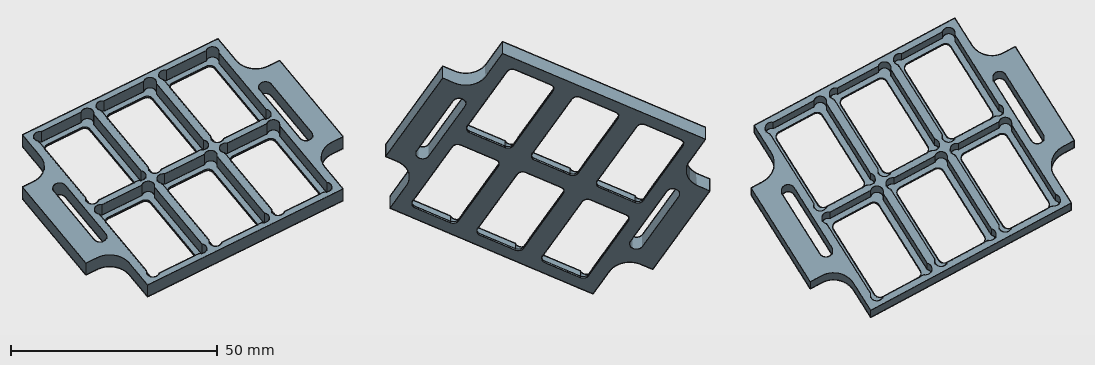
import cadquery as cq

plate_side = 56.2
thickness = 4.5
overall_length = 73.9
tab_width = 28.5
tab_fillet_radius = 5.6

slot_length = 21.4
slot_width = 3.3
slot_offset = 29.55

columns = 2
rows = 3
column_pitch = 27.3
row_pitch = 17.95
pocket_length = 25.6
pocket_width = 15.8
floor_thickness = 0.6
corner_relief_radius = 1.55
window_length = 22.75
window_width = 12.7
window_corner_radius = 1.5


def make_body():
    """Square plate crossed by a strip for the tabs, with filleted inner corners."""
    plate = cq.Workplane("XY").box(plate_side, plate_side, thickness, centered=(True, True, False))
    strip = cq.Workplane("XY").box(tab_width, overall_length, thickness, centered=(True, True, False))
    corner_x = tab_width / 2
    corner_y = plate_side / 2
    corners = [(x, y, thickness / 2) for x in (-corner_x, corner_x) for y in (-corner_y, corner_y)]
    body = plate.union(strip)
    for corner in corners:
        body = body.edges(cq.selectors.NearestToPointSelector(corner)).fillet(tab_fillet_radius)
    return body


def make_slots():
    return (
        cq.Workplane("XY")
        .pushPoints([(0, -slot_offset), (0, slot_offset)])
        .slot2D(slot_length, slot_width)
        .extrude(thickness)
    )


def make_cell():
    """Cutter for one pocket: corner-relieved recess plus the window below it."""
    recess_depth = thickness - floor_thickness
    recess = cq.Workplane("XY", origin=(0, 0, floor_thickness))
    pocket = recess.rect(pocket_length, pocket_width).extrude(recess_depth)

    relief_inset = corner_relief_radius / 2**0.5
    reliefs = (
        recess.rect(pocket_length - 2 * relief_inset, pocket_width - 2 * relief_inset, forConstruction=True)
        .vertices()
        .circle(corner_relief_radius)
        .extrude(recess_depth)
    )
    window = (
        cq.Workplane("XY")
        .rect(window_length, window_width)
        .extrude(thickness)
        .edges("|Z")
        .fillet(window_corner_radius)
    )
    return pocket.union(reliefs).union(window)


result = make_body().cut(make_slots())

cell = make_cell()
for column in range(columns):
    for row in range(rows):
        x = (column - (columns - 1) / 2) * column_pitch
        y = (row - (rows - 1) / 2) * row_pitch
        result = result.cut(cell.translate((x, y, 0)))